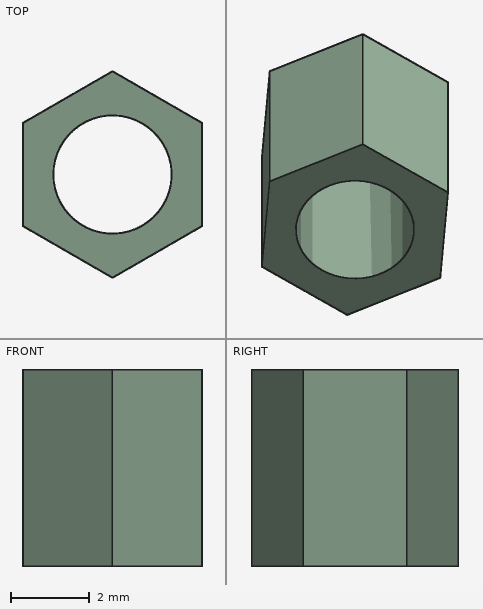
import cadquery as cq

corner_diameter = 5.25
height = 5.0
bore_diameter = 3.0

body = (
    cq.Workplane("XY")
    .transformed(rotate=(0, 0, 90))
    .polygon(6, corner_diameter)
    .extrude(height)
)

result = body.faces(">Z").workplane().hole(bore_diameter)